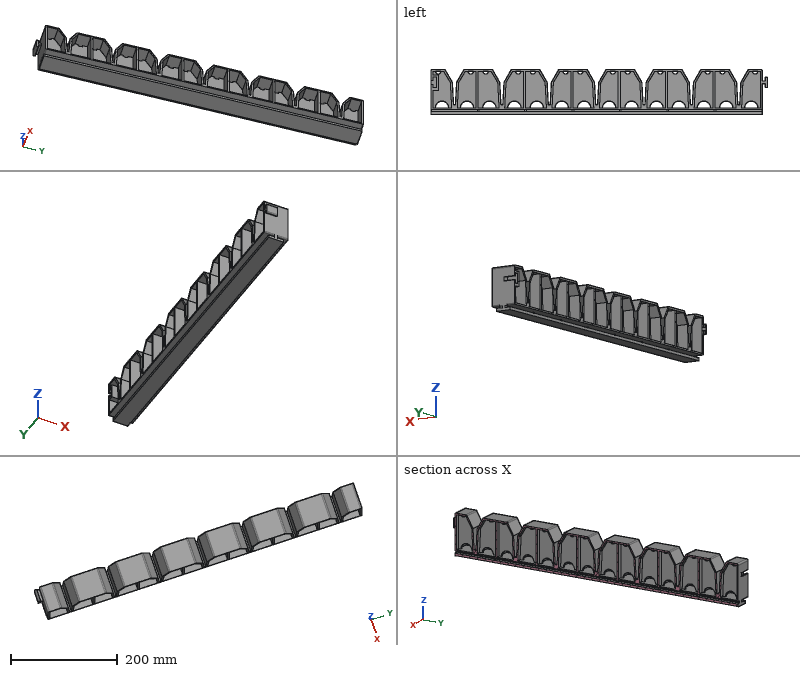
import cadquery as cq

width = 50.8
pitch = 88.9
gap_count = 7
length = gap_count * pitch
mid_x = width / 2

total_height = 84.77
flange_top = 5.6
body_bottom = 9.525
floor_z = 12.7
gap_floor_z = 18.6
knee_z = 60.3

gap_half_floor = 1.6
gap_half_knee = 3.8
gap_half_top = 17.8

wall = 4.0
lean_wall = 4.6
web = 4.0
pocket_depth = (width - web) / 2
ceiling_z = total_height - wall
corner_radius = 3.175
edge_radius = 1.9

floor_hole_radius = 12.2
floor_hole_offset = 21.0
ceiling_hole_radius = 4.7
ceiling_hole_offset = 13.9

rail_width = 31.75
rail_neck = 6.35
rail_rib_width = 17.5
rail_rib_thickness = 3.175

tongue_reach = 9.84
tongue_head = 4.9
tongue_head_height = 19.8
tongue_neck_height = 6.0
tongue_width = 23.0
tongue_z = 60.3
socket_head_depth = 6.5
socket_head_height = 19.5
socket_neck_height = 7.6
socket_roof = 4.0
socket_base = 5.5


def block(x0, x1, y0, y1, z0, z1):
    """Box between opposite corners."""
    return cq.Workplane("XY").box(x1 - x0, y1 - y0, z1 - z0, centered=False).translate((x0, y0, z0))


def prism(points, x0, x1):
    """Extrude a closed (y, z) outline from x0 to x1."""
    return cq.Workplane("YZ").workplane(offset=x0).polyline(points).close().extrude(x1 - x0)


def gap_half_at(z):
    """Half width of a gap at height z, on either side of the knee."""
    if z <= knee_z:
        slope = (gap_half_knee - gap_half_floor) / (knee_z - gap_floor_z)
    else:
        slope = (gap_half_top - gap_half_knee) / (total_height - knee_z)
    return gap_half_knee + slope * (z - knee_z)


def gap_center(index):
    return (index + 0.5) * pitch


def body():
    """Long block with rounded edges and the V gaps between the bays."""
    solid = block(0, width, 0, length, body_bottom, total_height)
    for index in range(gap_count):
        center = gap_center(index)
        profile = [
            (gap_half_floor, gap_floor_z),
            (gap_half_knee, knee_z),
            (gap_half_top, total_height),
        ]
        right = [(center + half, z) for half, z in profile]
        left = [(center - half, z) for half, z in reversed(profile)]
        solid = solid.cut(prism(right + left, 0, width))
    solid = solid.faces(">Z").edges("|X").fillet(corner_radius)
    return solid.faces("<Z").edges("|X").fillet(edge_radius)


def pocket_outline(index, side):
    """Outline of the pocket on one side (-1 or +1 along Y) of a gap."""
    center = gap_center(index)
    if side < 0:
        straight_y = index * pitch + wall
    else:
        straight_y = (index + 1) * pitch
        if index == gap_count - 1:
            straight_y -= wall

    floor_y = center + side * (gap_half_at(floor_z) + wall)
    knee_y = center + side * (gap_half_knee + wall)
    ceiling_y = center + side * (gap_half_at(ceiling_z) + lean_wall)
    return [
        (straight_y, floor_z),
        (floor_y, floor_z),
        (knee_y, knee_z),
        (ceiling_y, ceiling_z),
        (straight_y, ceiling_z),
    ]


def web_hole(y, z, radius, outline):
    """Round hole through the web, limited to the outline of its pocket."""
    hole = cq.Workplane("YZ").center(y, z).circle(radius).extrude(width)
    return hole.intersect(prism(outline, 0, width))


def cut_pockets(solid):
    """Pockets on both faces, with a floor and a ceiling opening in each web."""
    for index in range(gap_count):
        for side in (-1, 1):
            outline = pocket_outline(index, side)
            bay_center = gap_center(index) + side * pitch / 2
            floor_hole_y = bay_center - side * floor_hole_offset
            ceiling_hole_y = bay_center - side * ceiling_hole_offset
            solid = solid.cut(prism(outline, 0, pocket_depth))
            solid = solid.cut(prism(outline, width - pocket_depth, width))
            solid = solid.cut(web_hole(floor_hole_y, floor_z, floor_hole_radius, outline))
            solid = solid.cut(web_hole(ceiling_hole_y, ceiling_z, ceiling_hole_radius, outline))
    return solid


def rail():
    """T-shaped rail under the body with stiffening ribs at every pitch."""
    def centered(full_width, y0, y1, z0, z1):
        return block(mid_x - full_width / 2, mid_x + full_width / 2, y0, y1, z0, z1)

    rail_top = body_bottom + edge_radius
    solid = centered(rail_width, 0, length, 0, flange_top)
    solid = solid.union(centered(rail_neck, 0, length, flange_top, rail_top))
    for index in range(1, gap_count + 1):
        rib_start = index * pitch - rail_rib_thickness / 2
        rib_end = min(rib_start + rail_rib_thickness, length)
        solid = solid.union(centered(rail_rib_width, rib_start, rib_end, flange_top, rail_top))
    return solid


def tongue():
    """T tongue standing out of the -Y end."""
    def bar(height, y0, y1):
        return block(0, tongue_width, y0, y1, tongue_z - height / 2, tongue_z + height / 2)

    neck = bar(tongue_neck_height, -tongue_reach, 0)
    head = bar(tongue_head_height, -tongue_reach, tongue_head - tongue_reach)
    return neck.union(head.edges("|X").fillet(edge_radius))


def add_socket(solid):
    """Housing with a T socket inside the last pocket at the +Y end."""
    head_end = length - wall
    head_start = head_end - socket_head_depth
    head_bottom = tongue_z - socket_head_height / 2
    head_top = tongue_z + socket_head_height / 2
    neck_bottom = tongue_z - socket_neck_height / 2
    neck_top = tongue_z + socket_neck_height / 2

    housing = block(
        0, pocket_depth, head_start - wall, head_end, head_bottom - socket_base, head_top + socket_roof
    )
    head = block(0, pocket_depth, head_start, head_end, head_bottom, head_top)
    neck = block(0, pocket_depth, head_end, length, neck_bottom, neck_top)
    return solid.union(housing).cut(head).cut(neck)


result = add_socket(cut_pockets(body())).union(rail()).union(tongue())